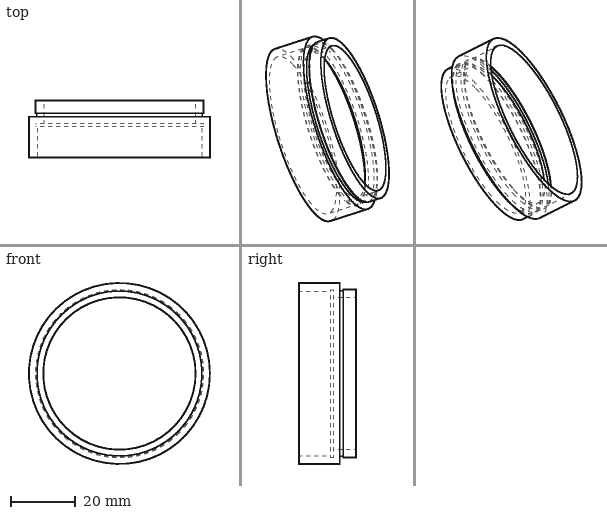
import cadquery as cq

body_length = 12.7
neck_length = 1.0
lip_length = 4.0
total_length = body_length + neck_length + lip_length

body_diameter = 56.0
neck_diameter = 51.2
lip_diameter = 52.0

front_bore_diameter = 51.0
undercut_diameter = 51.8
rear_bore_diameter = 47.0

undercut_width = 1.0
rear_bore_length = 7.0
shoulder_depth = total_length - rear_bore_length


def disc(diameter, start, length):
    """Solid disc on the Y axis running from Y = start to Y = start + length."""
    axis_plane = cq.Plane(origin=(0, start, 0), xDir=(1, 0, 0), normal=(0, 1, 0))
    return cq.Workplane(axis_plane).circle(diameter / 2).extrude(length)


def outer_form():
    """Wide body, narrow neck and rear lip."""
    body = disc(body_diameter, 0, body_length)
    neck = disc(neck_diameter, body_length, neck_length)
    lip = disc(lip_diameter, body_length + neck_length, lip_length)
    return body.union(neck).union(lip)


def stepped_bore():
    """Wide front bore, undercut at its end and narrower rear bore."""
    front_bore = disc(front_bore_diameter, 0, shoulder_depth)
    undercut = disc(undercut_diameter, shoulder_depth - undercut_width, undercut_width)
    rear_bore = disc(rear_bore_diameter, 0, total_length)
    return front_bore.union(undercut).union(rear_bore)


result = outer_form().cut(stepped_bore())